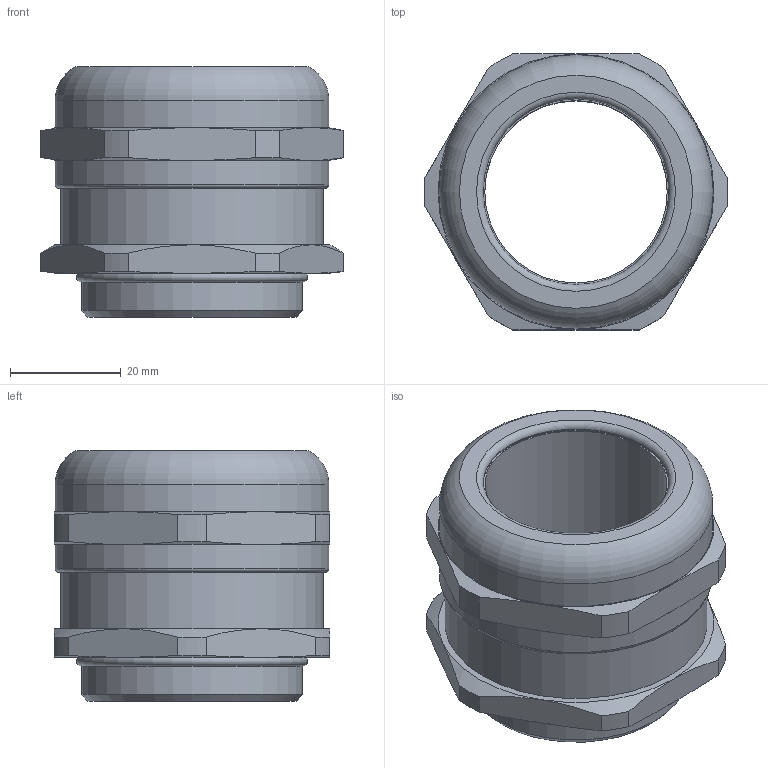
import cadquery as cq
import math

total_height = 45.37
across_flats = 49.9
corner_diameter = 1.1 * across_flats
bore_diameter = 33.0

thread_diameter = 40.0
thread_chamfer_height = 1.3
thread_chamfer_width = 1.15

seal_bottom = 6.4
seal_section_radius = 0.9

lower_hex_bottom = 8.0
lower_hex_top = 13.15
lower_hex_top_drop = 1.5
lower_hex_bottom_drop = 0.3

barrel_diameter = 47.5

collar_bottom = 23.35
collar_edge_radius = 0.7
cap_diameter = 49.55
upper_hex_bottom = 28.4
upper_hex_top = 34.3
upper_hex_drop = 0.5
dome_bottom = 39.2
dome_radius = 7.0

mouth_diameter = 33.6
mouth_edge_radius = 1.2
mouth_depth = 1.4


def turned_solid(profile):
    """Revolve a closed (radius, z) profile about the Z axis."""
    return profile.close().revolve(360, (0, 0, 0), (0, 1, 0))


def disc(diameter, bottom, top):
    return cq.Workplane("XY").workplane(offset=bottom).circle(diameter / 2).extrude(top - bottom)


def hexagon(bottom, top, bottom_drop, top_drop):
    """Hexagon with flats facing +-Y, rounded corners and conically bevelled ends."""
    height = top - bottom
    prism = (
        cq.Workplane("XY")
        .workplane(offset=bottom)
        .polygon(6, across_flats / math.cos(math.pi / 6))
        .extrude(height)
    )
    face_radius = across_flats / 2
    corner_radius = corner_diameter / 2
    envelope = turned_solid(
        cq.Workplane("XZ")
        .moveTo(0, bottom)
        .lineTo(face_radius, bottom)
        .lineTo(corner_radius, bottom + bottom_drop)
        .lineTo(corner_radius, top - top_drop)
        .lineTo(face_radius, top)
        .lineTo(0, top)
    )
    return prism.intersect(envelope)


def connection_thread():
    radius = thread_diameter / 2
    return turned_solid(
        cq.Workplane("XZ")
        .lineTo(radius - thread_chamfer_width, 0)
        .lineTo(radius, thread_chamfer_height)
        .lineTo(radius, lower_hex_bottom)
        .lineTo(0, lower_hex_bottom)
    )


def sealing_ring():
    """O-ring flattened against the lower hexagon, with the inside filled."""
    center_radius = thread_diameter / 2
    center_height = seal_bottom + seal_section_radius
    flat_height = lower_hex_bottom - center_height
    flat_radius = center_radius + math.sqrt(seal_section_radius**2 - flat_height**2)
    return turned_solid(
        cq.Workplane("XZ")
        .moveTo(0, seal_bottom)
        .lineTo(center_radius, seal_bottom)
        .threePointArc((center_radius + seal_section_radius, center_height), (flat_radius, lower_hex_bottom))
        .lineTo(0, lower_hex_bottom)
    )


def collar():
    body = disc(cap_diameter, collar_bottom, upper_hex_bottom)
    return body.faces("<Z").edges().fillet(collar_edge_radius)


def dome():
    """Cylinder closed by an arc that starts upright and is cut off by the flat top."""
    cap_radius = cap_diameter / 2
    arc_center_radius = cap_radius - dome_radius
    full_angle = math.asin((total_height - dome_bottom) / dome_radius)
    half_angle = full_angle / 2
    top_radius = arc_center_radius + dome_radius * math.cos(full_angle)
    arc_middle = (
        arc_center_radius + dome_radius * math.cos(half_angle),
        dome_bottom + dome_radius * math.sin(half_angle),
    )
    return turned_solid(
        cq.Workplane("XZ")
        .moveTo(0, upper_hex_top)
        .lineTo(cap_radius, upper_hex_top)
        .lineTo(cap_radius, dome_bottom)
        .threePointArc(arc_middle, (top_radius, total_height))
        .lineTo(0, total_height)
    )


def cut_bore(body):
    """Through bore with a slightly wider, rounded mouth at the top."""
    bore = disc(bore_diameter, 0, total_height)
    mouth = disc(mouth_diameter, total_height - mouth_depth, total_height)
    hollow = body.cut(bore).cut(mouth)
    mouth_edge = hollow.faces(">Z").edges(cq.selectors.RadiusNthSelector(0))
    return mouth_edge.fillet(mouth_edge_radius)


body = (
    connection_thread()
    .union(sealing_ring())
    .union(hexagon(lower_hex_bottom, lower_hex_top, lower_hex_bottom_drop, lower_hex_top_drop))
    .union(disc(barrel_diameter, lower_hex_top, collar_bottom))
    .union(collar())
    .union(hexagon(upper_hex_bottom, upper_hex_top, upper_hex_drop, upper_hex_drop))
    .union(dome())
)

result = cut_bore(body)